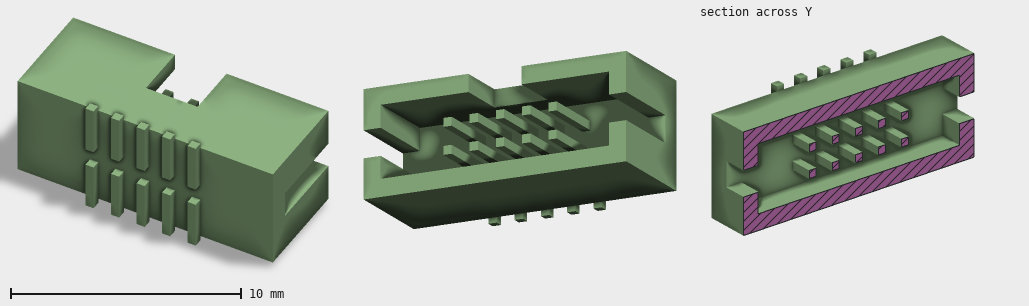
import cadquery as cq


PINS_PER_ROW = 5
PITCH = 1.27
PIN_SIZE = 0.41
PIN_RECESS = 0.5

BODY_LENGTH = 12.7
BODY_DEPTH = 4.89
BODY_HEIGHT = 5.0
WALL = 0.83
CAVITY_DEPTH = 3.82

END_SLOT_HEIGHT = 1.27
KEY_WIDTH = 2.57
KEY_DEPTH = 2.55

OVERALL_HEIGHT = 5.5

open_face = BODY_DEPTH / 2
back_face = -BODY_DEPTH / 2
cavity_floor = open_face - CAVITY_DEPTH
row_offset = PITCH / 2
tail_tip = OVERALL_HEIGHT / 2


def block(x_range, y_range, z_range):
    """Box between the given limits on each axis."""
    (x0, x1), (y0, y1), (z0, z1) = x_range, y_range, z_range
    return cq.Workplane("XY").box(x1 - x0, y1 - y0, z1 - z0, centered=False).translate((x0, y0, z0))


def centred(size):
    """Limits of a span centred on zero."""
    return (-size / 2, size / 2)


def make_shroud():
    """Body with its cavity, the slot through both ends and the key notch on top."""
    body = block(centred(BODY_LENGTH), (back_face, open_face), centred(BODY_HEIGHT))
    cavity = block(
        centred(BODY_LENGTH - 2 * WALL),
        (cavity_floor, open_face),
        centred(BODY_HEIGHT - 2 * WALL),
    )
    end_slot = block(centred(BODY_LENGTH), (cavity_floor, open_face), centred(END_SLOT_HEIGHT))
    key_notch = block(centred(KEY_WIDTH), (open_face - KEY_DEPTH, open_face), (0, BODY_HEIGHT / 2))
    return body.cut(cavity).cut(end_slot).cut(key_notch)


def make_upper_pin(x):
    """Contact in the cavity and its tail on the back face, for the +Z row."""
    x_range = (x - PIN_SIZE / 2, x + PIN_SIZE / 2)
    inner_side = row_offset - PIN_SIZE / 2
    contact = block(
        x_range,
        (cavity_floor, open_face - PIN_RECESS),
        (inner_side, inner_side + PIN_SIZE),
    )
    tail = block(x_range, (back_face - PIN_SIZE, back_face), (inner_side, tail_tip))
    return contact, tail


result = make_shroud()
for index in range(PINS_PER_ROW):
    x = (index - (PINS_PER_ROW - 1) / 2) * PITCH
    for piece in make_upper_pin(x):
        result = result.union(piece).union(piece.mirror("XY"))